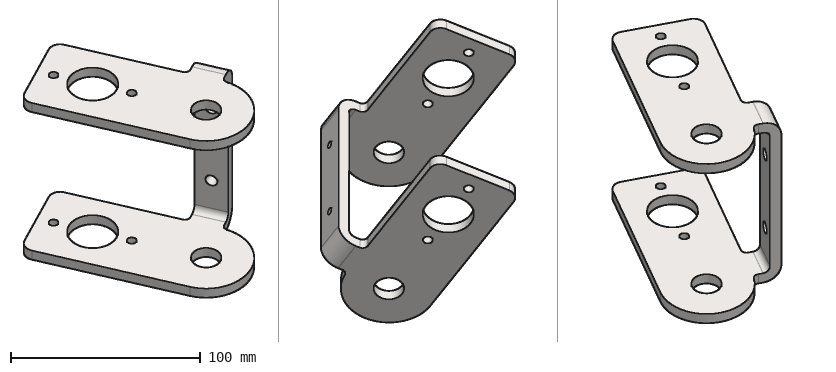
import cadquery as cq
import math

overall_length = 120.3
overall_depth = 66.6
overall_height = 107.9
thickness = 6.4

plate_width = 50.8
end_radius = plate_width / 2
corner_radius = 6.4
pivot_x = overall_length - end_radius
pivot_diameter = 16.0
large_hole_x = 31.4
large_hole_diameter = 27.0
side_hole_diameter = 5.2
side_hole_offset = 21.9

strip_width = 19.0
strip_left = pivot_x - strip_width
strip_middle = pivot_x - strip_width / 2
strip_root_radius = 3.1
back_y = overall_depth - end_radius
bend_inner_radius = 3.8
bend_outer_radius = bend_inner_radius + thickness
bend_start_y = back_y - bend_outer_radius

strip_hole_spacing = 49.5
strip_hole_inner_diameter = 6.7
strip_hole_outer_diameter = 3.8

diagonal = math.sqrt(0.5)


def make_plate(bottom_z):
    """Plate with its holes and the flat tab that runs to the bend."""
    root_x = pivot_x + strip_root_radius
    root_y = math.sqrt((end_radius + strip_root_radius) ** 2 - strip_root_radius**2)
    tangent_ratio = end_radius / (end_radius + strip_root_radius)
    tangent_point = (pivot_x + strip_root_radius * tangent_ratio, root_y * tangent_ratio)
    root_sweep = math.atan2(root_y, strip_root_radius)
    middle_angle = math.pi + root_sweep / 2
    root_middle = (
        root_x + strip_root_radius * math.cos(middle_angle),
        root_y + strip_root_radius * math.sin(middle_angle),
    )
    left_root_middle = (
        strip_left - strip_root_radius * (1 - diagonal),
        end_radius + strip_root_radius * (1 - diagonal),
    )

    plate = (
        cq.Workplane("XY", origin=(0, 0, bottom_z))
        .moveTo(0, -end_radius)
        .lineTo(pivot_x, -end_radius)
        .threePointArc((overall_length, 0), tangent_point)
        .threePointArc(root_middle, (pivot_x, root_y))
        .lineTo(pivot_x, bend_start_y)
        .lineTo(strip_left, bend_start_y)
        .lineTo(strip_left, end_radius + strip_root_radius)
        .threePointArc(left_root_middle, (strip_left - strip_root_radius, end_radius))
        .lineTo(0, end_radius)
        .close()
        .extrude(thickness)
        .edges("|Z and <X")
        .fillet(corner_radius)
    )
    holes = [
        (pivot_x, pivot_diameter),
        (large_hole_x, large_hole_diameter),
        (large_hole_x - side_hole_offset, side_hole_diameter),
        (large_hole_x + side_hole_offset, side_hole_diameter),
    ]
    for x, diameter in holes:
        cutter = cq.Workplane("XY", origin=(x, 0, bottom_z)).circle(diameter / 2).extrude(thickness)
        plate = plate.cut(cutter)
    return plate


def make_strip():
    """Upright strip with a quarter-round bend at each end."""
    inner_y = back_y - thickness
    low_bend_z = bend_outer_radius
    high_bend_z = overall_height - bend_outer_radius
    outer_reach = bend_outer_radius * diagonal
    inner_reach = bend_inner_radius * diagonal
    outer_middle_y = bend_start_y + outer_reach
    inner_middle_y = bend_start_y + inner_reach
    return (
        cq.Workplane("YZ", origin=(strip_left, 0, 0))
        .moveTo(bend_start_y, 0)
        .threePointArc((outer_middle_y, low_bend_z - outer_reach), (back_y, low_bend_z))
        .lineTo(back_y, high_bend_z)
        .threePointArc((outer_middle_y, high_bend_z + outer_reach), (bend_start_y, overall_height))
        .lineTo(bend_start_y, overall_height - thickness)
        .threePointArc((inner_middle_y, high_bend_z + inner_reach), (inner_y, high_bend_z))
        .lineTo(inner_y, low_bend_z)
        .threePointArc((inner_middle_y, low_bend_z - inner_reach), (bend_start_y, thickness))
        .close()
        .extrude(strip_width)
    )


def make_strip_hole(z):
    """Cone that narrows from the inner face to the outer face of the strip."""
    return cq.Workplane(
        cq.Solid.makeCone(
            strip_hole_inner_diameter / 2,
            strip_hole_outer_diameter / 2,
            thickness,
            pnt=cq.Vector(strip_middle, back_y - thickness, z),
            dir=cq.Vector(0, 1, 0),
        )
    )


result = make_strip()
for plate_z in (0, overall_height - thickness):
    result = result.union(make_plate(plate_z))
for side in (-1, 1):
    result = result.cut(make_strip_hole(overall_height / 2 + side * strip_hole_spacing / 2))